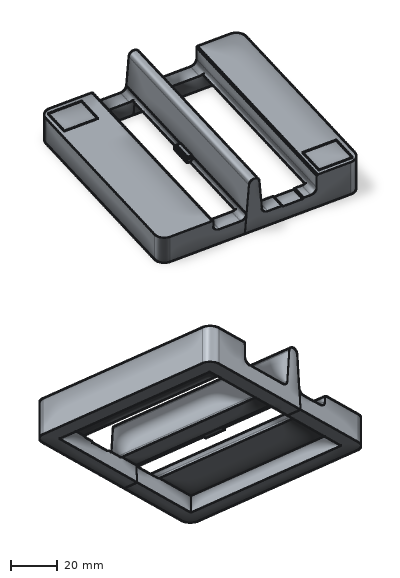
import cadquery as cq
import math

length = 102.0
depth = 100.5
height = 28.9
corner_radius = 5.0

rear_block_height = 18.0
rear_block_depth = 22.0
front_block_height = 14.0
front_block_depth = 26.6
floor_height = 8.0
channel_fillet = 3.0
block_edge_chamfer = 0.5
rear_block_y = depth - rear_block_depth

rib_y = 47.1
rib_base_half_width = 4.7
rib_top_radius = 2.7
rib_round_center = height - rib_top_radius
center_distance = math.hypot(rib_base_half_width, rib_round_center)
rib_taper = math.atan2(rib_base_half_width, rib_round_center) - math.asin(rib_top_radius / center_distance)
rib_shoulder_half_width = rib_top_radius * math.cos(rib_taper)
rib_shoulder_z = rib_round_center + rib_top_radius * math.sin(rib_taper)

rail_width = 7.6
cavity_length = length - 2 * rail_width
cavity_height = 8.4

pad_length = 13.9
pad_width = 16.8
pad_inset = 2.5
pad_recess = 0.4

groove_start = 61.0
groove_end = 71.9
groove_depth = 0.5

stop_length = 11.0
stop_front_y = 40.4
stop_top = 11.0
stop_chamfer = 0.7


def block(x_start, x_end, y_start, y_end, z_start, z_end):
    size = (x_end - x_start, y_end - y_start, z_end - z_start)
    return cq.Workplane("XY").box(*size, centered=False).translate((x_start, y_start, z_start))


def extrude_profile(profile):
    """Extrude a closed YZ outline over the whole length."""
    return profile.close().extrude(length / 2, both=True)


def fillet_channel(body, y_start, y_end):
    """Round the lengthwise inner edges of the channel between two Y positions."""
    selection_margin = 0.1
    selection = cq.selectors.BoxSelector(
        (-length, y_start, floor_height - selection_margin),
        (length, y_end, floor_height + selection_margin),
    )
    return body.edges("|X").edges(selection).fillet(channel_fillet)


def rib_half_width(z):
    return rib_base_half_width - z * math.tan(rib_taper)


def rib_front_y(z):
    return rib_y - rib_half_width(z)


def make_cavity():
    half_length = cavity_length / 2
    return block(-half_length, half_length, rail_width, depth - rail_width, 0, cavity_height)


def pad_pocket(x_start, y_start, top):
    return block(x_start, x_start + pad_length, y_start, y_start + pad_width, top - pad_recess, top)


def make_groove():
    """Groove across the right rail, its sides sloping at 45 degrees."""
    groove_floor = floor_height - groove_depth
    return (
        cq.Workplane("YZ", origin=(cavity_length / 2, 0, 0))
        .moveTo(groove_start, floor_height)
        .lineTo(groove_start + groove_depth, groove_floor)
        .lineTo(groove_end - groove_depth, groove_floor)
        .lineTo(groove_end, floor_height)
        .close()
        .extrude(rail_width)
    )


def make_rear_body():
    """Rear block, rear channel and the rib, whose front face is the joint."""
    profile = (
        cq.Workplane("YZ")
        .moveTo(rib_front_y(0), 0)
        .lineTo(depth, 0)
        .lineTo(depth, rear_block_height)
        .lineTo(rear_block_y + block_edge_chamfer, rear_block_height)
        .lineTo(rear_block_y, rear_block_height - block_edge_chamfer)
        .lineTo(rear_block_y, floor_height)
        .lineTo(rib_y + rib_half_width(floor_height), floor_height)
        .lineTo(rib_y + rib_shoulder_half_width, rib_shoulder_z)
        .threePointArc((rib_y, height), (rib_y - rib_shoulder_half_width, rib_shoulder_z))
    )
    body = extrude_profile(profile)
    body = fillet_channel(body, rib_y, rear_block_y + channel_fillet)
    body = body.edges("|Z and >Y").fillet(corner_radius)
    body = body.cut(make_cavity())
    pad_x = length / 2 - pad_inset - pad_length
    body = body.cut(pad_pocket(pad_x, depth - pad_inset - pad_width, rear_block_height))
    return body.cut(make_groove())


def make_stop():
    """Chamfered stop, running back to the slanted joint."""
    stop = block(-stop_length / 2, stop_length / 2, stop_front_y, rib_y, floor_height, stop_top)
    stop = stop.faces(">Z").edges("<Y or <X or >X").chamfer(stop_chamfer)
    beyond_joint = extrude_profile(
        cq.Workplane("YZ")
        .moveTo(rib_front_y(0), 0)
        .lineTo(rib_front_y(height), height)
        .lineTo(depth, height)
        .lineTo(depth, 0)
    )
    return stop.cut(beyond_joint)


def make_front_body():
    """Front block and front channel, ending in a fillet against the rib."""
    turn = math.pi / 2 - rib_taper
    tangent_length = channel_fillet * math.tan(turn / 2)
    floor_end_y = rib_front_y(floor_height) - tangent_length
    fillet_center_z = floor_height + channel_fillet
    fillet_top = fillet_center_z - channel_fillet * math.sin(rib_taper)
    middle_y = floor_end_y + channel_fillet * math.sin(turn / 2)
    middle_z = fillet_center_z - channel_fillet * math.cos(turn / 2)
    profile = (
        cq.Workplane("YZ")
        .lineTo(rib_front_y(0), 0)
        .lineTo(rib_front_y(fillet_top), fillet_top)
        .threePointArc((middle_y, middle_z), (floor_end_y, floor_height))
        .lineTo(front_block_depth, floor_height)
        .lineTo(front_block_depth, front_block_height - block_edge_chamfer)
        .lineTo(front_block_depth - block_edge_chamfer, front_block_height)
        .lineTo(0, front_block_height)
    )
    body = extrude_profile(profile)
    body = fillet_channel(body, front_block_depth - channel_fillet, front_block_depth + channel_fillet)
    body = body.edges("|Z and <Y").fillet(corner_radius)
    body = body.cut(pad_pocket(-length / 2 + pad_inset, pad_inset, front_block_height))
    return body.union(make_stop()).cut(make_cavity())


rear_body = make_rear_body()
front_body = make_front_body()
result = cq.Compound.makeCompound([*rear_body.solids().vals(), *front_body.solids().vals()])